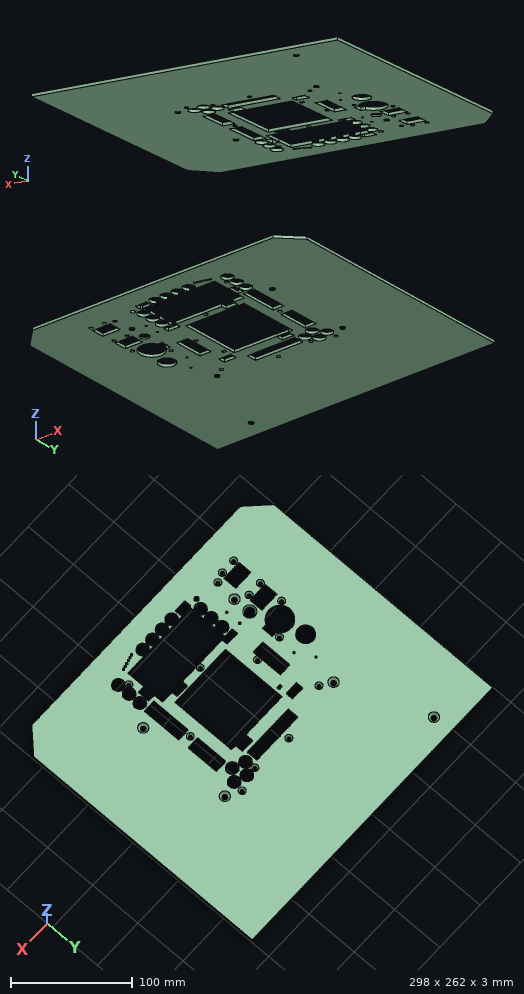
import cadquery as cq

length = 298.0
width = 262.0
thickness = 3.0
corner_cut = 20.0

display_size = 62.3
display_center = (4.2, -24.7)
keypad_left, keypad_right = -35.2, 42.0
keypad_bottom, keypad_top = -102.0, -63.8
tab_width = 12.5
tab_height = 7.0
keypad_tab_height = 5.7
tab_xs = (-37.8, 24.0)
upper_tab_y = 10.7
side_slot_width = 11.5
right_slot_x = 52.2
left_slot_x = -46.5
socket_size = (18.5, 12.8)
socket_x = -82.2
socket_ys = (-63.2, -92.0)

single_windows = [
    ((3.0, 23.0), 50.7, 10.5),
    ((right_slot_x, -5.7), side_slot_width, 31.0),
    ((right_slot_x, -50.7), side_slot_width, 37.8),
    ((left_slot_x, -22.4), side_slot_width, 29.8),
    ((-32.2, -0.5), 3.5, 2.5),
    ((-30.7, -106.0), 11.5, 6.5),
    ((46.0, -78.7), 6.0, 11.3),
]

button_diameter = 11.0
button_pitch = 12.0
button_row_start = (-17.3, -106.7)
button_row_count = 4
left_column_top = (-40.0, -71.2)
right_column_top = (55.0, -77.2)
button_column_count = 3
button_cluster = [(43.8, 31.0), (55.0, 27.0), (35.8, 22.4), (47.0, 18.0)]

dial_diameter = 24.0
dial_center = (-77.0, -40.2)
dial_notch_right = -61.5
dial_notch_height = 10.5
knob_diameter = 16.0
knob_center = (-81.0, -15.5)

countersink_angle = 90.0
large_bore, large_head = 4.5, 9.2
large_screws = [(-97.0, 112.0), (-65.0, 29.8), (69.7, 29.8), (69.7, -60.5), (-65.0, -80.0)]
small_bore, small_head = 3.3, 6.5
small_screws = [
    (-3.5, 35.2), (-54.5, 23.0), (34.5, 31.5), (56.5, 37.2), (49.5, -26.5),
    (-64.7, -29.8), (-37.8, -30.0), (-1.2, -60.8), (49.2, -94.8), (-66.8, -99.8),
    (-89.7, -49.8), (-89.7, -73.3), (-75.7, -73.3), (-89.7, -102.8), (-75.7, -102.8),
]
bushing_bore, bushing_head = 8.5, 11.5
bushing_center = (-65.3, -63.2)

pin_diameter = 1.8
pins = [(-71.8, 4.2), (-62.5, -12.0), (-52.2, -62.5), (-52.2, -77.0)]
locating_diameter = 4.2
locating_center = (-44.5, -103.5)

header_start = (28.0, -110.5)
header_end = (42.0, -107.0)
header_count = 6


def window(center, size_x, size_y):
    """Rectangular prism passing through the whole plate."""
    return cq.Workplane("XY").center(*center).rect(size_x, size_y).extrude(thickness)


def window_between(left, right, bottom, top):
    """Through window given by its four sides."""
    return window(((left + right) / 2, (bottom + top) / 2), right - left, top - bottom)


def bores(centers, diameter):
    """Plain round through holes."""
    return cq.Workplane("XY").pushPoints(centers).circle(diameter / 2).extrude(thickness)


def column(top_center):
    """Centres of a vertical column of push buttons."""
    x, y = top_center
    return [(x, y - i * button_pitch) for i in range(button_column_count)]


def add_countersinks(body, centers, bore, head):
    """Screw holes countersunk from the top face."""
    return (
        body.faces(">Z")
        .workplane(origin=(0, 0, thickness))
        .pushPoints(centers)
        .cskHole(bore, head, countersink_angle)
    )


plate = (
    cq.Workplane("XY")
    .box(length, width, thickness, centered=(True, True, False))
    .edges("|Z and <Y")
    .chamfer(corner_cut)
)

keypad_tab_y = keypad_top + keypad_tab_height / 2
windows = [
    window(display_center, display_size, display_size),
    window_between(keypad_left, keypad_right, keypad_bottom, keypad_top),
]
for center, size_x, size_y in single_windows:
    windows.append(window(center, size_x, size_y))
for tab_x in tab_xs:
    windows.append(window((tab_x, upper_tab_y), tab_width, tab_height))
    windows.append(window((tab_x, keypad_tab_y), tab_width, keypad_tab_height))
for socket_y in socket_ys:
    windows.append(window((socket_x, socket_y), *socket_size))
dial_x, dial_y = dial_center
dial_notch_bottom = dial_y - dial_notch_height / 2
dial_notch_top = dial_y + dial_notch_height / 2
windows.append(window_between(dial_x, dial_notch_right, dial_notch_bottom, dial_notch_top))
for opening in windows:
    plate = plate.cut(opening)

row_x, row_y = button_row_start
button_row = [(row_x + i * button_pitch, row_y) for i in range(button_row_count)]
buttons = button_cluster + button_row + column(left_column_top) + column(right_column_top)
plate = plate.cut(bores(buttons, button_diameter))
plate = plate.cut(bores([dial_center], dial_diameter))
plate = plate.cut(bores([knob_center], knob_diameter))
plate = plate.cut(bores(pins, pin_diameter))
plate = plate.cut(bores([locating_center], locating_diameter))

header_step_x = (header_end[0] - header_start[0]) / (header_count - 1)
header_step_y = (header_end[1] - header_start[1]) / (header_count - 1)
header = [
    (header_start[0] + i * header_step_x, header_start[1] + i * header_step_y)
    for i in range(header_count)
]
plate = plate.cut(bores(header, pin_diameter))

plate = add_countersinks(plate, large_screws, large_bore, large_head)
plate = add_countersinks(plate, small_screws, small_bore, small_head)
plate = add_countersinks(plate, [bushing_center], bushing_bore, bushing_head)

result = plate